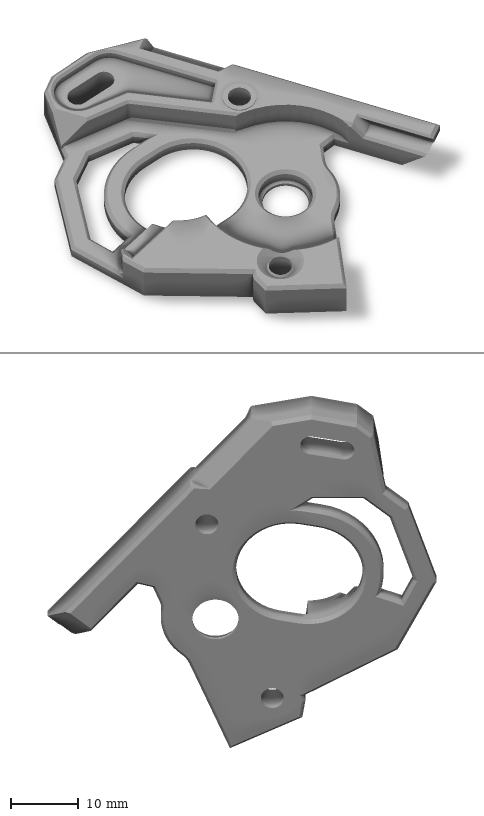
import cadquery as cq
import math

FLOOR_Z = 2.5
TOP_Z = 6.4
BOSS_Z = 6.6
LEDGE_Z = 4.4

OVERRUN = 2.85
ABOVE = TOP_Z + OVERRUN
BELOW = -OVERRUN

EDGE_CHAMFER = 0.5
WALL_CHAMFER = 0.4
LIP_CHAMFER = 0.35

HUB = (39.0, 23.9)
HUB_LOBE_RADIUS = 8.05
LOBE_FILLET = 3.95
HUB_HOLE_DIAMETER = 6.8
BEARING_DIAMETER = 8.0
BEARING_SEAT_Z = 0.5
SWEEP_RADIUS = 13.55
BOSS = (27.4, 35.5)
BOSS_DIAMETER = 5.0
SCREW = (43.9, 8.8)
SCREW_DIAMETER = 3.4
COUNTERSINK_DIAMETER = 6.9
SCREW_RIM = 0.3

SLANT = math.radians(60)
BORE = (24.95, 19.7)
BORE_RADIUS = 8.0
BORE_TRAVEL = 2.7
RING_WIDTH = 3.05
SLOT = (5.9, 30.5)
SLOT_RADIUS = 1.55
SLOT_TRAVEL = 5.0
POCKET_MARGIN = 2.0
POCKET_DEPTH = 1.5
POCKET_TOP_Y = 37.1
POCKET_BLEND_ANGLE = math.radians(120)
POCKET_LEAVE_ANGLE = math.radians(-42)
POCKET_CORNERS = [(23.0, POCKET_TOP_Y), (23.75, 33.5), (11.55, 30.9)]

LENGTH = 56.7
WIDTH = 41.4
ARM_FRONT_Y = 36.4
ARM_TIP_Z = 4.6
LEDGE_START_X = 44.7
RAIL_Y = 38.45

RECESS_START_X = 10.3
RECESS_END_X = 24.25
RECESS_Y = 38.95
RECESS_DEPTH = 2.0
RECESS_RAMP_RUN = 1.35
RECESS_END_REACH = 1.8
UNDER_BEVEL = 2.3
BLOCK_SLOPE_Y = 24.0

NECK = (41.0, 34.35)
OUTLINE = [
    (25.75, 0),
    (40.8, 5.4),
    (41.2, 4.65),
    (43.7, 3.1),
    (54.7, 7.75),
    NECK,
    (41.95, ARM_FRONT_Y),
    (LENGTH, ARM_FRONT_Y),
    (LENGTH, WIDTH),
    (RECESS_START_X, WIDTH),
    (3.3, 35.8),
    (0, 29.75),
    (0, 26.65),
    (6.1, 19.05),
    (6.1, 14.7),
    (13.15, 3.2),
]
WINDOW = [(9.25, 20.7), (9.25, 15.6), (15.1, 6.0), (18.95, 5.0), (20.9, 10.55), (22.7, 28.35), (14.1, 26.35)]

BLOCK_WALL = [(2.85, 17.75), (12.35, 28.9), (28.05, 32.3), (30.4, 34.4)]
BLOCK_FOOT = [(12.5, 28.6), (28.1, 31.9), (28.35, 34), (12.5, 31.75)]

LOWER_BLOCK_Y = 20.4

SHELF_CORNER = (20.8, 3.5)
SHELF_LEFT_TOP = (24.0, 12.25)
SHELF_RIGHT_TOP = (26.95, 12.25)
SHELF_RIGHT_END = (22.75, 0.55)
SHELF_LEFT_END = (22.35, 0.4)
SHELF_BACK = [(24.95, -1.15), (27.2, 5.65)]
SHELF_RAMP_OFFSET = 0.85

LIP_UNDERCUT = 0.6
LIP_FOOT = 0.4
LIP_CLEARANCE = 3.4
LIP_SECTION = [
    (-LIP_CLEARANCE, LEDGE_Z),
    (LIP_UNDERCUT, LEDGE_Z),
    (LIP_UNDERCUT, LEDGE_Z + LIP_FOOT),
    (0, TOP_Z - LIP_CHAMFER),
    (LIP_CHAMFER, TOP_Z),
    (LIP_CHAMFER, ABOVE),
    (-LIP_CLEARANCE, ABOVE),
]


def prism(points, z0, z1):
    return cq.Workplane("XY").workplane(offset=z0).polyline(points).close().extrude(z1 - z0)


def disc(center, radius, z0, z1):
    return cq.Workplane("XY").workplane(offset=z0).center(*center).circle(radius).extrude(z1 - z0)


def on_circle(center, radius, angle):
    return (center[0] + radius * math.cos(angle), center[1] + radius * math.sin(angle))


def slanted_slot(center, radius, travel, z0, z1, taper=0):
    return (
        cq.Workplane("XY").workplane(offset=z0).center(*center)
        .transformed(rotate=(0, 0, math.degrees(SLANT)))
        .slot2D(travel + 2 * radius, 2 * radius).extrude(z1 - z0, taper=taper)
    )


def bore(rim_z):
    """Cutter for the bore, widening at the rim and at the underside to break both edges."""
    cutter = slanted_slot(BORE, BORE_RADIUS, BORE_TRAVEL, BELOW, ABOVE)
    for start_z, reach in ((rim_z - EDGE_CHAMFER, EDGE_CHAMFER), (EDGE_CHAMFER, -EDGE_CHAMFER)):
        mouth = slanted_slot(BORE, BORE_RADIUS, BORE_TRAVEL, start_z, start_z + reach, taper=-45)
        cutter = cutter.union(mouth)
    return cutter


def xz_bar(points, y0, y1):
    return cq.Workplane("XZ", origin=(0, y0, 0)).polyline(points).close().extrude(y0 - y1)


def yz_bar(points, x0, x1):
    return cq.Workplane("YZ", origin=(x0, 0, 0)).polyline(points).close().extrude(x1 - x0)


def edge_through(body, a, b, z):
    """The edge of body whose middle lies nearest the middle of a-b at height z."""
    middle = ((a[0] + b[0]) / 2, (a[1] + b[1]) / 2, z)
    return body.edges(cq.NearestToPointSelector(middle))


def outline(height):
    """Whole outline with the round lobe around the hub blended in."""
    body = prism(OUTLINE, 0, height).union(disc(HUB, HUB_LOBE_RADIUS, 0, height))
    start, end = OUTLINE[4], NECK
    length = math.dist(start, end)
    ux, uy = (end[0] - start[0]) / length, (end[1] - start[1]) / length
    along = (HUB[0] - start[0]) * ux + (HUB[1] - start[1]) * uy
    off = (HUB[0] - start[0]) * uy - (HUB[1] - start[1]) * ux
    half_chord = math.sqrt(HUB_LOBE_RADIUS**2 - off**2)
    for s in (along - half_chord, along + half_chord):
        corner = (start[0] + s * ux, start[1] + s * uy, height / 2)
        body = body.edges(cq.NearestToPointSelector(corner)).fillet(LOBE_FILLET)
    return body


def floor_plate():
    """Thin plate with the bore and the crescent window beside it."""
    plate = outline(FLOOR_Z)
    ring = slanted_slot(BORE, BORE_RADIUS + RING_WIDTH, BORE_TRAVEL, BELOW, ABOVE)
    window = prism(WINDOW, BELOW, ABOVE).cut(ring)
    return plate.cut(window).faces("<Z or >Z").edges().chamfer(EDGE_CHAMFER).cut(bore(FLOOR_Z))


def ledge_cut():
    """Ramp and ledge in front of the rail, running back under the rail's edge."""
    run = TOP_Z - LEDGE_Z
    side = [
        (LEDGE_START_X, TOP_Z),
        (LEDGE_START_X + run, LEDGE_Z),
        (LENGTH + OVERRUN, LEDGE_Z),
        (LENGTH + OVERRUN, ABOVE),
        (LEDGE_START_X, ABOVE),
    ]
    section = [(RAIL_Y + depth, z) for depth, z in LIP_SECTION]
    ledge = xz_bar(side, 0, WIDTH).intersect(yz_bar(section, LEDGE_START_X, LENGTH + OVERRUN))
    front_edge = (
        cq.Workplane("XZ", origin=(0, ARM_FRONT_Y + WALL_CHAMFER, 0)).polyline(side).close()
        .extrude(WALL_CHAMFER, taper=-45)
    )
    return ledge.union(front_edge)


def recess_limit():
    """Space on the -X side of the slanted wall where the recess and the bevel below it stop."""
    inner = (RECESS_END_X - RECESS_END_REACH, RECESS_Y)
    outer = (RECESS_END_X + RECESS_END_REACH, 2 * WIDTH - RECESS_Y)
    return prism([(0, inner[1]), inner, outer, (0, outer[1])], BELOW, ABOVE)


def arm_tip():
    """Cutter that undercuts the free end of the arm at 45 degrees."""
    tip = [
        (LENGTH - ARM_TIP_Z + BELOW, BELOW),
        (LENGTH + OVERRUN, ARM_TIP_Z + OVERRUN),
        (LENGTH + OVERRUN, BELOW),
    ]
    return xz_bar(tip, ARM_FRONT_Y - WALL_CHAMFER, WIDTH + OVERRUN)


def under_bevel():
    """Cutter for the 45 degree bevel below the recess."""
    bevel = [
        (WIDTH - UNDER_BEVEL + BELOW, BELOW),
        (WIDTH + OVERRUN, UNDER_BEVEL + OVERRUN),
        (WIDTH + OVERRUN, BELOW),
    ]
    return yz_bar(bevel, 0, LENGTH).intersect(recess_limit())


def full_height():
    """Full-height outline with its chamfered top edges and everything shaped on the arm."""
    body = outline(TOP_Z).faces("<Z or >Z").edges().chamfer(EDGE_CHAMFER)
    body = body.cut(ledge_cut())

    recess = [
        (RECESS_START_X, TOP_Z),
        (RECESS_START_X + RECESS_RAMP_RUN, TOP_Z - RECESS_DEPTH),
        (RECESS_END_X, TOP_Z - RECESS_DEPTH),
        (RECESS_END_X, ABOVE),
        (RECESS_START_X, ABOVE),
    ]
    body = body.cut(xz_bar(recess, RECESS_Y, WIDTH + OVERRUN).intersect(recess_limit()))
    end_foot = (RECESS_END_X - RECESS_END_REACH, RECESS_Y)
    return edge_through(body, end_foot, (RECESS_END_X, WIDTH), TOP_Z).chamfer(LIP_CHAMFER)


def upper_block():
    """Raised region along the +Y side, sloped down at its -X corner."""
    far_x, far_y = LENGTH + OVERRUN, WIDTH + OVERRUN
    far = [(far_x, BLOCK_WALL[-1][1]), (far_x, far_y), (-OVERRUN, far_y), (-OVERRUN, BLOCK_WALL[0][1])]
    block = prism(BLOCK_WALL + far, 0, TOP_Z)
    for a, b in zip(BLOCK_WALL[:2], BLOCK_WALL[1:3]):
        block = edge_through(block, a, b, TOP_Z).chamfer(WALL_CHAMFER)
    foot = (
        cq.Workplane("XY").workplane(offset=FLOOR_Z).polyline(BLOCK_FOOT).close()
        .extrude(WALL_CHAMFER, taper=45)
    )
    rise = ABOVE - FLOOR_Z
    slope_foot_y = BLOCK_SLOPE_Y - (TOP_Z - FLOOR_Z)
    slope = [(slope_foot_y, FLOOR_Z), (slope_foot_y + rise, ABOVE), (0, ABOVE), (0, FLOOR_Z)]
    block = block.cut(yz_bar(slope, -OVERRUN, BLOCK_WALL[1][0]))
    return block.union(foot).cut(disc(HUB, SWEEP_RADIUS, BELOW, ABOVE))


def lower_block():
    """Raised region at the -Y side, hollowed by the sweep around the hub and the bore."""
    far_x = LENGTH + OVERRUN
    corners = [
        SHELF_RIGHT_TOP,
        SHELF_RIGHT_END,
        (SHELF_RIGHT_END[0], -OVERRUN),
        (far_x, -OVERRUN),
        (far_x, LOWER_BLOCK_Y),
        (SHELF_RIGHT_TOP[0], LOWER_BLOCK_Y),
    ]
    block = prism(corners, 0, TOP_Z)
    block = block.cut(disc(HUB, SWEEP_RADIUS, BELOW, ABOVE))
    block = block.faces(">Z").edges("%CIRCLE").chamfer(WALL_CHAMFER)
    wall_x, wall_y = SHELF_RIGHT_TOP[0] - SHELF_RIGHT_END[0], SHELF_RIGHT_TOP[1] - SHELF_RIGHT_END[1]
    across = cq.Plane(origin=(*SHELF_RIGHT_END, 0), xDir=(wall_y, -wall_x, 0), normal=(-wall_x, -wall_y, 0))
    lip = cq.Workplane(across).polyline(LIP_SECTION).close().extrude(WIDTH, both=True)
    return block.cut(lip).cut(bore(TOP_Z))


def shelf():
    """Step between floor and lower block, ramping up to full height at its outer end."""
    corners = [SHELF_CORNER, SHELF_LEFT_END, *SHELF_BACK, SHELF_RIGHT_TOP, SHELF_LEFT_TOP]
    step = prism(corners, 0, TOP_Z)
    direction = (SHELF_LEFT_TOP[0] - SHELF_CORNER[0], SHELF_LEFT_TOP[1] - SHELF_CORNER[1], 0)
    side = cq.Plane(origin=(*SHELF_CORNER, 0), xDir=direction, normal=(direction[1], -direction[0], 0))
    ramp_run = ABOVE - LEDGE_Z
    clearance = [
        (SHELF_RAMP_OFFSET, LEDGE_Z),
        (LENGTH, LEDGE_Z),
        (LENGTH, ABOVE),
        (SHELF_RAMP_OFFSET - ramp_run, ABOVE),
    ]
    step = step.cut(cq.Workplane(side).polyline(clearance).close().extrude(LENGTH, both=True))
    wall_middle = ((SHELF_CORNER[0] + SHELF_LEFT_END[0]) / 2, (SHELF_CORNER[1] + SHELF_LEFT_END[1]) / 2)
    edge_z = (LEDGE_Z + SHELF_RAMP_OFFSET + TOP_Z) / 2
    step = edge_through(step, SHELF_CORNER, wall_middle, edge_z).chamfer(LIP_CHAMFER)
    foot = (
        cq.Workplane("XY").workplane(offset=FLOOR_Z).polyline(corners).close()
        .offset2D(EDGE_CHAMFER, "intersection").extrude(EDGE_CHAMFER, taper=45)
    )
    return step.union(foot).cut(bore(LEDGE_Z))


def slot_pocket():
    """Shallow pocket around the slot, its outline keeping a margin from the slot's lower end."""
    radius = SLOT_RADIUS + POCKET_MARGIN
    low = on_circle(SLOT, -SLOT_TRAVEL / 2, SLANT)
    side = on_circle(low, radius, SLANT + math.pi / 2)
    run = (POCKET_TOP_Y - side[1]) / math.tan(SLANT)
    blend = radius * math.tan(SLANT / 2)
    corner = (side[0] + run, POCKET_TOP_Y)
    before = on_circle(corner, -blend, SLANT)
    after = (corner[0] + blend, POCKET_TOP_Y)
    blend_center = (after[0], POCKET_TOP_Y - radius)
    blend_mid = on_circle(blend_center, radius, POCKET_BLEND_ANGLE)
    low_mid = on_circle(low, radius, math.pi + SLANT)
    low_end = on_circle(low, radius, POCKET_LEAVE_ANGLE)
    wires = [
        cq.Workplane("XY").workplane(offset=z)
        .moveTo(*side).lineTo(*before).threePointArc(blend_mid, after)
        .polyline(POCKET_CORNERS + [low_end], includeCurrent=True)
        .threePointArc(low_mid, side).close()
        for z in (TOP_Z - POCKET_DEPTH, TOP_Z - WALL_CHAMFER)
    ]
    return wires[0].extrude(POCKET_DEPTH).union(wires[1].extrude(WALL_CHAMFER, taper=-45))


def countersunk_screw_hole():
    """Screw hole with a 45 degree countersink whose foot rises again to a thin rim at the hole."""
    hole_radius = SCREW_DIAMETER / 2
    mouth_radius = COUNTERSINK_DIAMETER / 2
    foot_radius = hole_radius + SCREW_RIM
    foot_z = TOP_Z - (mouth_radius - foot_radius)
    profile = [
        (0, BELOW),
        (hole_radius, BELOW),
        (hole_radius, foot_z + SCREW_RIM),
        (foot_radius, foot_z),
        (mouth_radius, TOP_Z),
        (0, TOP_Z),
    ]
    return (
        cq.Workplane("XZ").polyline(profile).close()
        .revolve(360, (0, 0, 0), (0, 1, 0)).translate((*SCREW, 0))
    )


def bearing_seat():
    """Hub hole with a bearing counterbore and a chamfered mouth at floor level."""
    radius = BEARING_DIAMETER / 2
    seat = disc(HUB, radius, BEARING_SEAT_Z, FLOOR_Z)
    mouth = (
        cq.Workplane("XY").workplane(offset=FLOOR_Z - EDGE_CHAMFER).center(*HUB)
        .circle(radius).extrude(EDGE_CHAMFER, taper=-45)
    )
    return seat.union(mouth).union(disc(HUB, HUB_HOLE_DIAMETER / 2, BELOW, FLOOR_Z))


raised = full_height().intersect(upper_block().union(lower_block()).union(shelf()))
result = floor_plate().union(raised)
result = result.union(disc(BOSS, BOSS_DIAMETER / 2, TOP_Z, BOSS_Z))
result = result.cut(disc(BOSS, SCREW_DIAMETER / 2, BELOW, ABOVE))
result = result.cut(arm_tip()).cut(under_bevel())
result = result.cut(slot_pocket())
result = result.cut(slanted_slot(SLOT, SLOT_RADIUS, SLOT_TRAVEL, BELOW, ABOVE))
result = result.cut(countersunk_screw_hole()).cut(bearing_seat())